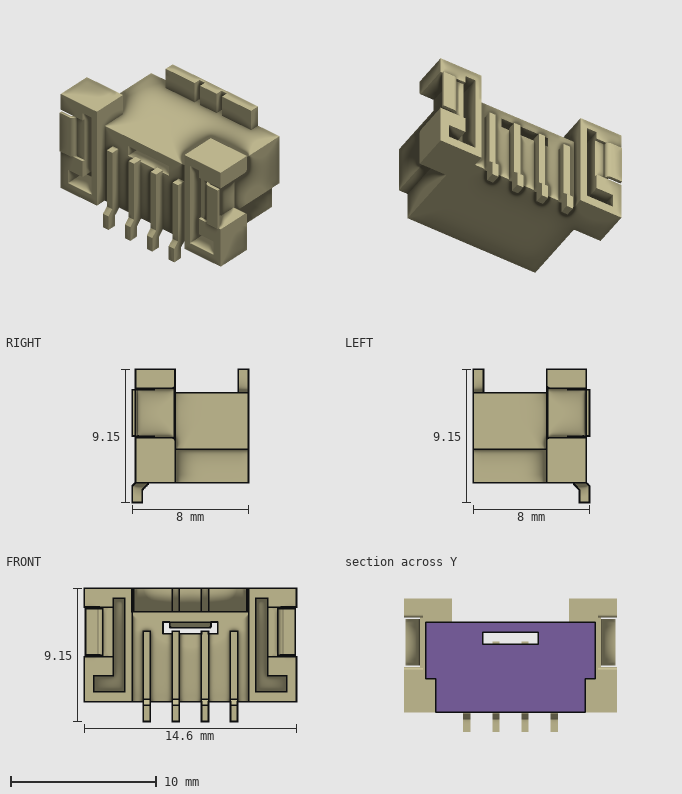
import cadquery as cq
import math


housing_back = 8.0
housing_front = 1.05
housing_width = 11.7
housing_height = 6.2
lower_width = 10.3
lower_height = 2.3

part_height = 7.8
ridge_width = 7.8
ridge_depth = 0.72
ridge_notch_width = 0.5
ridge_notch_depth = 0.5
ridge_notch_x = 1.0

window_width = 3.75
window_bottom = 4.68
window_top = 5.48
tongue_width = 2.84
tongue_bottom = 5.08
tongue_depth = 0.72
tongue_corner_radius = 0.13
tongue_lean = 7.0

sheet_thickness = 0.22
ear_inner = 4.0
ear_outer = 7.3
ear_front = sheet_thickness
ear_depth = 2.73
ear_back = ear_front + ear_depth
clip_mid_z = 4.8
ear_notch_height = 3.4
notch_z = (clip_mid_z - ear_notch_height / 2, clip_mid_z + ear_notch_height / 2)
ear_notch_round = 0.2
ear_notch_inner = 6.0
clip_recess_depth = 0.22

pocket_depth = 1.65
pocket_inner = 4.5
pocket_outer = 5.3
pocket_foot_outer = 6.63
pocket_bottom = 0.7
pocket_foot_top = 1.8
pocket_top = 7.1

clip_height = 3.2
clip_outer = 7.21
bend_outer_radius = 0.35
bend_inner_radius = bend_outer_radius - sheet_thickness
clip_leg_back = ear_back - 0.07
clip_wide_front = 1.51

pin_count = 4
pin_pitch = 2.0
pin_width = 0.5
pin_thickness = 0.7
pin_offset = 0.4
pin_top = 4.85
pin_foot_bottom = -1.35
pin_bend_front_top = 0.19
pin_bend_front_bottom = -0.22
pin_bend_back_top = -0.08
pin_bend_back_bottom = -0.49


def block(x_range, y_range, z_range):
    """Axis-aligned box given by its limits along X, Y and Z."""
    size = [high - low for low, high in (x_range, y_range, z_range)]
    corner = (x_range[0], y_range[0], z_range[0])
    return cq.Workplane("XY").box(*size, centered=False).translate(corner)


def centred_block(width, y_range, z_range, x_mid=0.0):
    """Box of the given width, centred on x_mid."""
    return block((x_mid - width / 2, x_mid + width / 2), y_range, z_range)


def make_housing():
    y_range = (housing_front, housing_back)
    upper = centred_block(housing_width, y_range, (lower_height, housing_height))
    lower = centred_block(lower_width, y_range, (0, lower_height))
    window = centred_block(window_width, y_range, (window_bottom, window_top))
    return upper.union(lower).cut(window)


def make_ridge():
    front = housing_back - ridge_depth
    z_range = (housing_height, part_height)
    ridge = centred_block(ridge_width, (front, housing_back), z_range)
    for x_mid in (-ridge_notch_x, ridge_notch_x):
        notch = centred_block(ridge_notch_width, (front, front + ridge_notch_depth), z_range, x_mid)
        ridge = ridge.cut(notch)
    return ridge


def make_tongue():
    """Latch tongue with rounded lower corners and a front face that leans back towards its top."""
    tip_front = housing_back - tongue_depth
    root_front = tip_front + (window_top - tongue_bottom) * math.tan(math.radians(tongue_lean))
    outline = [
        (tip_front, tongue_bottom),
        (root_front, window_top),
        (housing_back, window_top),
        (housing_back, tongue_bottom),
    ]
    tongue = cq.Workplane("YZ").polyline(outline).close().extrude(tongue_width / 2, both=True)
    return tongue.faces("<Z").edges("|Y").fillet(tongue_corner_radius)


def make_ear():
    """Ear on the +X side."""
    ear = block((ear_inner, ear_outer), (ear_front, ear_back), (0, part_height))

    notch = block((ear_notch_inner, ear_outer), (ear_front, ear_back), notch_z)
    recess = block((pocket_outer, ear_outer), (ear_front, ear_front + clip_recess_depth), notch_z)
    ear = ear.cut(notch)
    for edge_z in notch_z:
        edge_middle = ((ear_notch_inner + ear_outer) / 2, ear_back, edge_z)
        rear_edge = cq.selectors.NearestToPointSelector(edge_middle)
        ear = ear.edges(rear_edge).fillet(ear_notch_round)
    ear = ear.cut(recess)

    pocket_y = (ear_front, ear_front + pocket_depth)
    pocket_column = block((pocket_inner, pocket_outer), pocket_y, (pocket_bottom, pocket_top))
    pocket_foot = block((pocket_inner, pocket_foot_outer), pocket_y, (pocket_bottom, pocket_foot_top))
    return ear.cut(pocket_column).cut(pocket_foot)


def make_clip():
    """Solder clip on the +X side: a leg against the ear and a foot bent outward at the front."""
    leg_inner = ear_notch_inner
    leg_outer = leg_inner + sheet_thickness
    plate = (
        cq.Workplane("XY")
        .moveTo(leg_inner, clip_leg_back)
        .lineTo(leg_inner, bend_outer_radius)
        .radiusArc((leg_inner + bend_outer_radius, 0), -bend_outer_radius)
        .lineTo(clip_outer, 0)
        .lineTo(clip_outer, sheet_thickness)
        .lineTo(leg_outer + bend_inner_radius, sheet_thickness)
        .radiusArc((leg_outer, bend_outer_radius), bend_inner_radius)
        .lineTo(leg_outer, clip_leg_back)
        .close()
        .extrude(clip_height)
        .translate((0, 0, clip_mid_z - clip_height / 2))
    )
    wide_leg = block((leg_inner, leg_outer), (clip_wide_front, clip_leg_back), notch_z)
    return plate.union(wide_leg)


def make_pin(x_mid):
    """Flat pin on the housing front, jogged forward below the housing."""
    outline = [
        (pin_offset, pin_top),
        (pin_offset, pin_bend_front_top),
        (0, pin_bend_front_bottom),
        (0, pin_foot_bottom),
        (pin_thickness, pin_foot_bottom),
        (pin_thickness, pin_bend_back_bottom),
        (pin_offset + pin_thickness, pin_bend_back_top),
        (pin_offset + pin_thickness, pin_top),
    ]
    pin = cq.Workplane("YZ").polyline(outline).close().extrude(pin_width)
    return pin.translate((x_mid - pin_width / 2, 0, 0))


ear_envelope = block((ear_inner, ear_outer), (ear_front, ear_back), (0, part_height))
housing = make_housing().cut(ear_envelope).cut(ear_envelope.mirror("YZ"))
right_side = make_ear().union(make_clip())

result = housing.union(make_ridge()).union(make_tongue())
result = result.union(right_side).union(right_side.mirror("YZ"))
for index in range(pin_count):
    result = result.union(make_pin((index - (pin_count - 1) / 2) * pin_pitch))